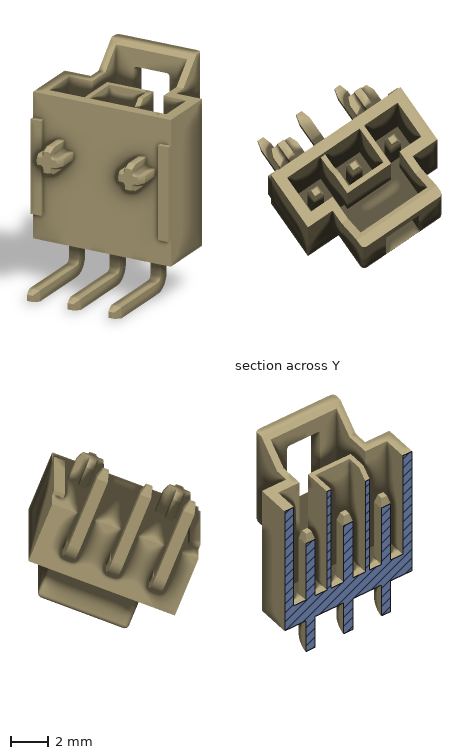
import cadquery as cq


PIN_COUNT = 3
PITCH = 2.5
PIN_WIDTH = 0.64
PIN_TIP_WIDTH = 0.36
PIN_TIP_LENGTH = 0.55
PIN_TOP = 6.0
PIN_DROP = 2.23
PIN_REACH = 3.49
BEND_INNER_RADIUS = 0.28
BEND_OUTER_RADIUS = BEND_INNER_RADIUS + PIN_WIDTH

HOUSING_WIDTH = 8.44
HOUSING_DEPTH = 3.48
HOUSING_HEIGHT = 8.48
WALL = 0.62
FLOOR = 1.5
BOARD_FACE_Y = -HOUSING_DEPTH / 2
BACK_FACE_Y = HOUSING_DEPTH / 2
CAVITY_FRONT_Y = BOARD_FACE_Y + WALL
CAVITY_BACK_Y = BACK_FACE_Y - WALL

HOOD_WIDTH = 5.22
HOOD_DEPTH = 2.87
HOOD_RISE = 1.45
HOOD_BOTTOM = 3.5
HOOD_TOP_LAND = 0.59
HOOD_FILLET = 0.25
HOOD_SIDE_WALL = 0.43
HOOD_BACK_WALL = 0.85
HOOD_FLOOR = 0.3
HOOD_BACK_Y = BACK_FACE_Y + HOOD_DEPTH
HOOD_TOP = HOUSING_HEIGHT + HOOD_RISE
HOOD_CAVITY_BOTTOM = HOOD_BOTTOM + HOOD_FLOOR

WINDOW_WIDTH = 2.2
WINDOW_TOP = HOUSING_HEIGHT + 0.14
WINDOW_FILLET = 0.2

SHROUD_INNER_WIDTH = 2.26
SHROUD_WALL = 0.29
SHROUD_OUTER_WIDTH = SHROUD_INNER_WIDTH + 2 * SHROUD_WALL
SHROUD_SLOPE_START_Y = 0.25
SHROUD_SLOPE_DROP = 0.64

RIB_WIDTH = 0.62
RIB_DEPTH = 0.28
RIB_BOTTOM = 1.52
RIB_TOP = 7.0

PEG_RADIUS = 0.8
PEG_LENGTH = 1.6
PEG_ARM_WIDTH = 0.43
PEG_ROOT_FILLET = 0.19
PEG_TAPER_LENGTH = 0.43
PEG_TAPER_INSET = 0.18
PEG_Z = 5.27
PEG_EMBED = 0.1


def block(x_range, y_range, z_range):
    """Box spanning the given (low, high) ranges."""
    size = [high - low for low, high in (x_range, y_range, z_range)]
    return cq.Workplane().box(*size, centered=False).translate((x_range[0], y_range[0], z_range[0]))


def centered_range(width):
    return -width / 2, width / 2


def profile_yz(points, width):
    """Closed YZ outline extruded symmetrically about X = 0."""
    return cq.Workplane("YZ").polyline(points).close().extrude(width / 2, both=True)


def make_hood():
    slope_top_y = HOOD_BACK_Y - HOOD_TOP_LAND
    outline = [
        (BACK_FACE_Y, HOOD_BOTTOM),
        (HOOD_BACK_Y, HOOD_BOTTOM),
        (HOOD_BACK_Y, HOOD_TOP),
        (slope_top_y, HOOD_TOP),
        (slope_top_y - HOOD_RISE, HOUSING_HEIGHT),
        (BACK_FACE_Y, HOUSING_HEIGHT),
    ]
    hood = profile_yz(outline, HOOD_WIDTH)
    back_edges = hood.faces(">Y").edges("|Z or <Z")
    bottom_side_edges = hood.faces("<Z").edges("|Y")
    return hood.newObject(back_edges.vals() + bottom_side_edges.vals()).fillet(HOOD_FILLET)


def make_cavity():
    row = block(
        centered_range(HOUSING_WIDTH - 2 * WALL),
        (CAVITY_FRONT_Y, CAVITY_BACK_Y),
        (FLOOR, HOUSING_HEIGHT),
    )
    hood_pocket = block(
        centered_range(HOOD_WIDTH - 2 * HOOD_SIDE_WALL),
        (CAVITY_FRONT_Y, HOOD_BACK_Y - HOOD_BACK_WALL),
        (HOOD_CAVITY_BOTTOM, HOOD_TOP),
    )
    window = block(
        centered_range(WINDOW_WIDTH),
        (CAVITY_BACK_Y, HOOD_BACK_Y),
        (HOOD_CAVITY_BOTTOM, WINDOW_TOP),
    ).edges("|Y and >Z").fillet(WINDOW_FILLET)
    return row.union(hood_pocket).union(window)


def make_shroud():
    height_range = (FLOOR, HOUSING_HEIGHT)
    shroud = block(
        centered_range(SHROUD_OUTER_WIDTH),
        (CAVITY_FRONT_Y, CAVITY_BACK_Y + SHROUD_WALL),
        height_range,
    ).cut(block(centered_range(SHROUD_INNER_WIDTH), (CAVITY_FRONT_Y, CAVITY_BACK_Y), height_range))

    low_z = HOUSING_HEIGHT - SHROUD_SLOPE_DROP
    notch = (
        cq.Workplane("YZ", origin=(SHROUD_INNER_WIDTH / 2, 0, 0))
        .moveTo(SHROUD_SLOPE_START_Y, HOUSING_HEIGHT)
        .lineTo(SHROUD_SLOPE_START_Y - SHROUD_SLOPE_DROP, low_z)
        .lineTo(CAVITY_FRONT_Y, low_z)
        .lineTo(CAVITY_FRONT_Y, HOUSING_HEIGHT)
        .close()
        .extrude(SHROUD_WALL)
    )
    return shroud.cut(notch)


def make_rib(side):
    center_x = side * (HOUSING_WIDTH - RIB_WIDTH) / 2
    return block(
        centered_range(RIB_WIDTH),
        (BOARD_FACE_Y - RIB_DEPTH, BOARD_FACE_Y),
        (RIB_BOTTOM, RIB_TOP),
    ).translate((center_x, 0, 0))


def make_peg(x):
    """Cross with filleted roots, trimmed by a cylinder that tapers at its tip."""
    length = PEG_LENGTH + PEG_EMBED
    arm_span = 2 * (PEG_RADIUS + PEG_EMBED)
    cross = (
        cq.Workplane()
        .rect(arm_span, PEG_ARM_WIDTH)
        .extrude(length)
        .union(cq.Workplane().rect(PEG_ARM_WIDTH, arm_span).extrude(length))
    )
    root_zone = cq.selectors.BoxSelector(
        (-PEG_ARM_WIDTH, -PEG_ARM_WIDTH, 0),
        (PEG_ARM_WIDTH, PEG_ARM_WIDTH, length),
    )
    cross = cross.edges("|Z").edges(root_zone).fillet(PEG_ROOT_FILLET)
    envelope = (
        cq.Workplane("XZ")
        .lineTo(PEG_RADIUS, 0)
        .lineTo(PEG_RADIUS, length - PEG_TAPER_LENGTH)
        .lineTo(PEG_RADIUS - PEG_TAPER_INSET, length)
        .lineTo(0, length)
        .close()
        .revolve(360, (0, 0), (0, 1))
    )
    peg = cross.intersect(envelope)
    return peg.rotate((0, 0, 0), (1, 0, 0), 90).translate((x, BOARD_FACE_Y + PEG_EMBED, PEG_Z))


def make_pin_tip(plane, origin):
    return (
        cq.Workplane(plane, origin=origin)
        .rect(PIN_WIDTH, PIN_WIDTH)
        .workplane(offset=PIN_TIP_LENGTH)
        .rect(PIN_TIP_WIDTH, PIN_TIP_WIDTH)
        .loft()
    )


def make_pin(x):
    """Square pin with one right-angle bend and a tapered tip at each end."""
    half = PIN_WIDTH / 2
    bottom_z = -PIN_DROP
    bend_y = half - BEND_OUTER_RADIUS
    bend_z = bottom_z + BEND_OUTER_RADIUS
    tail_y = BOARD_FACE_Y - PIN_REACH + PIN_TIP_LENGTH
    upright_top = PIN_TOP - PIN_TIP_LENGTH
    bent_bar = (
        cq.Workplane("YZ")
        .moveTo(half, upright_top)
        .lineTo(half, bend_z)
        .radiusArc((bend_y, bottom_z), BEND_OUTER_RADIUS)
        .lineTo(tail_y, bottom_z)
        .lineTo(tail_y, bottom_z + PIN_WIDTH)
        .lineTo(bend_y, bottom_z + PIN_WIDTH)
        .radiusArc((-half, bend_z), -BEND_INNER_RADIUS)
        .lineTo(-half, upright_top)
        .close()
        .extrude(half, both=True)
    )
    upright_tip = make_pin_tip("XY", (0, 0, upright_top))
    tail_tip = make_pin_tip("XZ", (0, tail_y, bottom_z + half))
    return bent_bar.union(upright_tip).union(tail_tip).translate((x, 0, 0))


housing = block(
    centered_range(HOUSING_WIDTH),
    (BOARD_FACE_Y, BACK_FACE_Y),
    (0, HOUSING_HEIGHT),
)
result = housing.union(make_hood()).cut(make_cavity()).union(make_shroud())

for side in (-1, 1):
    result = result.union(make_rib(side))
    result = result.union(make_peg(side * PITCH))

for index in range(PIN_COUNT):
    result = result.union(make_pin((index - (PIN_COUNT - 1) / 2) * PITCH))